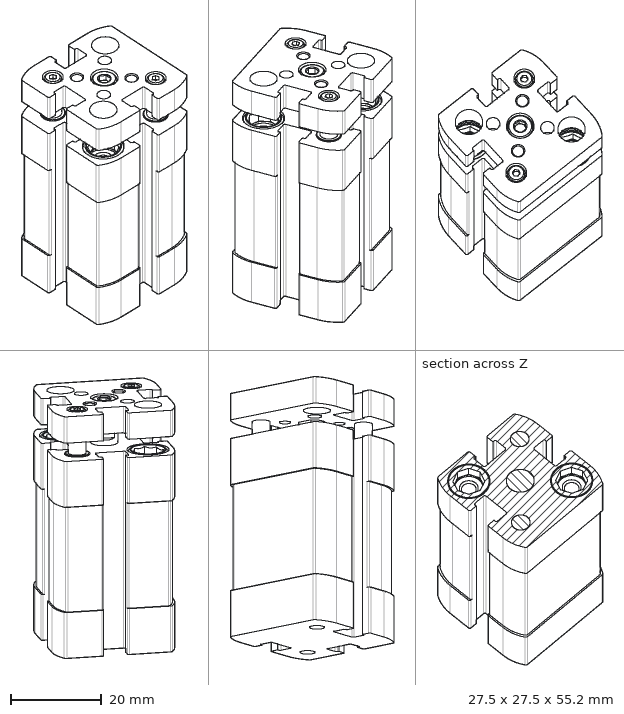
import cadquery as cq
import math

total_height = 55.2
plate_thickness = 6.0
plate_gap = 4.2
plate_bottom = total_height - plate_thickness
housing_height = plate_bottom - plate_gap
collar_height = 10.5

half_width = 13.75
barrel_inset = 0.4
side_flat_inset = 5.6
side_arc_radius = 10.0
corner_radius = 0.6

slot_offset = 0.6
slot_mouth_width = 5.4
slot_inner_width = 6.85
slot_floor = 8.3
slot_lip = 11.65
slot_corner_radius = 0.4
slot_mouth_radius = 0.4

corner_offset = 8.0
small_hole_offset = 4.25
rod_corners = [(-corner_offset, -corner_offset), (corner_offset, corner_offset)]
bolt_corners = [(-corner_offset, corner_offset), (corner_offset, -corner_offset)]
tapped_spots = [(-small_hole_offset, -small_hole_offset), (small_hole_offset, small_hole_offset)]
plain_spots = [(-small_hole_offset, small_hole_offset), (small_hole_offset, -small_hole_offset)]

access_hole_diameter = 6.0
small_hole_diameter = 3.0
tapped_core_diameter = 2.5

piston_rod_diameter = 6.0
rod_end_diameter = 5.5
rod_end_groove_depth = 1.1
piston_rod_reach = 10.5
rod_flat_distance = 2.5
rod_flat_height = 2.6
rod_flat_run_out = 0.35
rod_top_recess = 0.3
rod_top_chamfer = 0.3
rod_socket_width = 2.5
rod_socket_depth = 1.5
rod_socket_mouth = 3.0
drill_point_height = 0.7

guide_rod_diameter = 4.0
guide_rod_reach = 10.5
screw_recess_diameter = 4.6
screw_recess_depth = 2.0
screw_head_diameter = 3.8
screw_head_chamfer = 0.3
screw_socket_width = 1.5
screw_socket_depth = 1.0
screw_socket_turn = 15

bushing_diameter = 5.6
bushing_height = 0.2
bushing_chamfer = 0.15
bolt_groove_diameter = 9.2
bolt_head_diameter = 9.0
bolt_groove_depth = 1.1
bolt_head_chamfer = 0.5
bolt_socket_width = 6.4
bolt_socket_mouth = 7.5
bolt_socket_depth = 3.0
bolt_well_depth = 3.5
bolt_bore_mouth = 4.15
bolt_bore_diameter = 3.25


def cylinder(diameter, bottom, height, spot=(0, 0)):
    return cq.Workplane("XY", origin=(*spot, bottom)).circle(diameter / 2).extrude(height)


def cone(bottom_diameter, top_diameter, bottom, height, spot=(0, 0)):
    return cq.Workplane(
        cq.Solid.makeCone(bottom_diameter / 2, top_diameter / 2, height, pnt=cq.Vector(*spot, bottom))
    )


def polygon_prism(sides, across_flats, bottom, height, spot=(0, 0), turn=0):
    """Regular prism with a corner pointing along +X before it is turned."""
    across_corners = across_flats / math.cos(math.pi / sides)
    prism = cq.Workplane("XY").polygon(sides, across_corners).extrude(height)
    return prism.rotate((0, 0, 0), (0, 0, 1), turn).translate((*spot, bottom))


def slot_cutter(half, height):
    """T-slot that opens at y = -half, with rounded mouth edges and rounded inner corners."""
    mouth = slot_mouth_width / 2
    inner = slot_inner_width / 2
    flare = mouth + slot_mouth_radius
    cutter = (
        cq.Workplane("XY")
        .moveTo(-flare, -half)
        .radiusArc((-mouth, -half + slot_mouth_radius), -slot_mouth_radius)
        .lineTo(-mouth, -slot_lip)
        .lineTo(-inner, -slot_lip)
        .lineTo(-inner, -slot_floor)
        .lineTo(inner, -slot_floor)
        .lineTo(inner, -slot_lip)
        .lineTo(mouth, -slot_lip)
        .lineTo(mouth, -half + slot_mouth_radius)
        .radiusArc((flare, -half), -slot_mouth_radius)
        .close()
        .extrude(height)
    )
    floor_corners = cutter.edges("|Z and >Y")
    lip_corners = cutter.edges("|Z and (<X or >X)")
    return cutter.newObject(floor_corners.vals() + lip_corners.vals()).fillet(slot_corner_radius)


def profile_block(half, bottom, height):
    """Prism with flat front and back, bowed sides and T-slots in three of its sides."""
    arc_start = half - side_flat_inset
    arc_rise = side_arc_radius - math.sqrt(side_arc_radius**2 - side_flat_inset**2)
    flat_end = half - arc_rise
    block = (
        cq.Workplane("XY")
        .moveTo(-flat_end, -half)
        .lineTo(flat_end, -half)
        .radiusArc((half, -arc_start), -side_arc_radius)
        .lineTo(half, arc_start)
        .radiusArc((flat_end, half), -side_arc_radius)
        .lineTo(-flat_end, half)
        .radiusArc((-half, arc_start), -side_arc_radius)
        .lineTo(-half, -arc_start)
        .radiusArc((-flat_end, -half), -side_arc_radius)
        .close()
        .extrude(height)
    )
    block = block.edges("|Z and (<Y or >Y)").fillet(corner_radius)
    slot = slot_cutter(half, height)
    front_slot = slot.translate((-slot_offset, 0, 0))
    left_slot = slot.rotate((0, 0, 0), (0, 0, 1), -90).translate((0, -slot_offset, 0))
    right_slot = slot.rotate((0, 0, 0), (0, 0, 1), 90).translate((0, slot_offset, 0))
    block = block.cut(front_slot).cut(left_slot).cut(right_slot)
    return block.translate((0, 0, bottom))


def ring_groove(outer_diameter, inner_diameter, chamfer, top, depth, spot=(0, 0)):
    """Cutter for a groove around a round end whose top edge is chamfered."""
    core = cylinder(inner_diameter, top - depth, depth, spot).faces(">Z").edges().chamfer(chamfer)
    return cylinder(outer_diameter, top - depth, depth, spot).cut(core)


def bolt_cutters(spot):
    """Cutters for a ring groove around a chamfered octagonal socket, a round well and a through bore."""
    well_bottom = housing_height - bolt_well_depth
    bore_mouth_depth = (bolt_bore_mouth - bolt_bore_diameter) / 2
    groove = ring_groove(
        bolt_groove_diameter, bolt_head_diameter, bolt_head_chamfer, housing_height, bolt_groove_depth, spot
    )
    socket_bottom = housing_height - bolt_socket_depth
    socket = polygon_prism(8, bolt_socket_width, socket_bottom, bolt_socket_depth, spot)
    chamfer = (bolt_socket_mouth - bolt_socket_width) / 2
    socket_mouth = cone(bolt_socket_width, bolt_socket_mouth, housing_height - chamfer, chamfer, spot)
    well = cylinder(bolt_socket_width, well_bottom, bolt_well_depth, spot)
    bore_mouth = cone(bolt_bore_diameter, bolt_bore_mouth, well_bottom - bore_mouth_depth, bore_mouth_depth, spot)
    bore = cylinder(bolt_bore_diameter, 0, well_bottom, spot)
    return [groove, socket, socket_mouth, well, bore_mouth, bore]


def make_housing():
    """Barrel between two collars, with bushings and holes for the rods and the hollow corner bolts."""
    barrel_height = housing_height - 2 * collar_height
    upper_collar_bottom = housing_height - collar_height
    housing = profile_block(half_width, 0, collar_height)
    housing = housing.union(profile_block(half_width - barrel_inset, collar_height, barrel_height))
    housing = housing.union(profile_block(half_width, upper_collar_bottom, collar_height))
    for spot in rod_corners:
        bushing = cylinder(bushing_diameter, housing_height, bushing_height, spot)
        housing = housing.union(bushing.faces(">Z").edges().chamfer(bushing_chamfer))
        guide_depth = guide_rod_reach + bushing_height
        housing = housing.cut(
            cylinder(guide_rod_diameter, housing_height - guide_rod_reach, guide_depth, spot)
        )
    for spot in bolt_corners:
        for cutter in bolt_cutters(spot):
            housing = housing.cut(cutter)
    return housing.cut(
        cylinder(piston_rod_diameter, housing_height - piston_rod_reach, piston_rod_reach)
    )


def screw_cutters(spot):
    """Cutters that leave a guide rod screw head with a hexagonal socket in the plate."""
    groove = ring_groove(
        screw_recess_diameter, screw_head_diameter, screw_head_chamfer, total_height, screw_recess_depth, spot
    )
    socket_bottom = total_height - screw_socket_depth
    socket = polygon_prism(6, screw_socket_width, socket_bottom, screw_socket_depth, spot, screw_socket_turn)
    return [groove, socket]


def make_plate():
    """Plate with access holes, plain and tapped holes, screw heads and the piston rod hole."""
    plate = profile_block(half_width, plate_bottom, plate_thickness)
    for spot in bolt_corners:
        plate = plate.cut(cylinder(access_hole_diameter, plate_bottom, plate_thickness, spot))
    for spot in plain_spots:
        plate = plate.cut(cylinder(small_hole_diameter, plate_bottom, plate_thickness, spot))
    for spot in tapped_spots:
        chamfer = (small_hole_diameter - tapped_core_diameter) / 2
        plate = plate.cut(cylinder(tapped_core_diameter, plate_bottom, plate_thickness, spot))
        plate = plate.cut(cone(tapped_core_diameter, small_hole_diameter, total_height - chamfer, chamfer, spot))
    for spot in rod_corners:
        for cutter in screw_cutters(spot):
            plate = plate.cut(cutter)
    return plate.cut(cylinder(piston_rod_diameter, plate_bottom, plate_thickness))


def make_piston_rod():
    """Piston rod with two wrench flats, a chamfered end and a hexagonal socket with a drill point."""
    bottom = housing_height - piston_rod_reach
    top = total_height - rod_top_recess
    rod = cylinder(piston_rod_diameter, bottom, top - bottom)
    rod = rod.cut(
        ring_groove(piston_rod_diameter, rod_end_diameter, rod_top_chamfer, top, rod_end_groove_depth)
    )
    radius = piston_rod_diameter / 2
    flat_bottom = plate_bottom - rod_flat_height
    flat = (
        cq.Workplane("YZ")
        .moveTo(-rod_flat_distance, plate_bottom)
        .lineTo(-rod_flat_distance, flat_bottom)
        .lineTo(-radius, flat_bottom - rod_flat_run_out)
        .lineTo(-radius, plate_bottom)
        .close()
        .extrude(radius, both=True)
    )
    rod = rod.cut(flat).cut(flat.mirror("XZ"))
    socket_bottom = top - rod_socket_depth
    chamfer = (rod_socket_mouth - rod_socket_width) / 2
    rod = rod.cut(polygon_prism(6, rod_socket_width, socket_bottom, rod_socket_depth))
    rod = rod.cut(cone(rod_socket_width, rod_socket_mouth, top - chamfer, chamfer))
    return rod.cut(cone(0, rod_socket_width, socket_bottom - drill_point_height, drill_point_height))


def make_carriage():
    """Plate, piston rod and guide rods, all in one moving solid."""
    carriage = make_plate().union(make_piston_rod())
    guide_bottom = housing_height - guide_rod_reach
    for spot in rod_corners:
        carriage = carriage.union(
            cylinder(guide_rod_diameter, guide_bottom, plate_bottom - guide_bottom, spot)
        )
    return carriage


housing = make_housing()
carriage = make_carriage()
result = cq.Compound.makeCompound([housing.val(), carriage.val()])